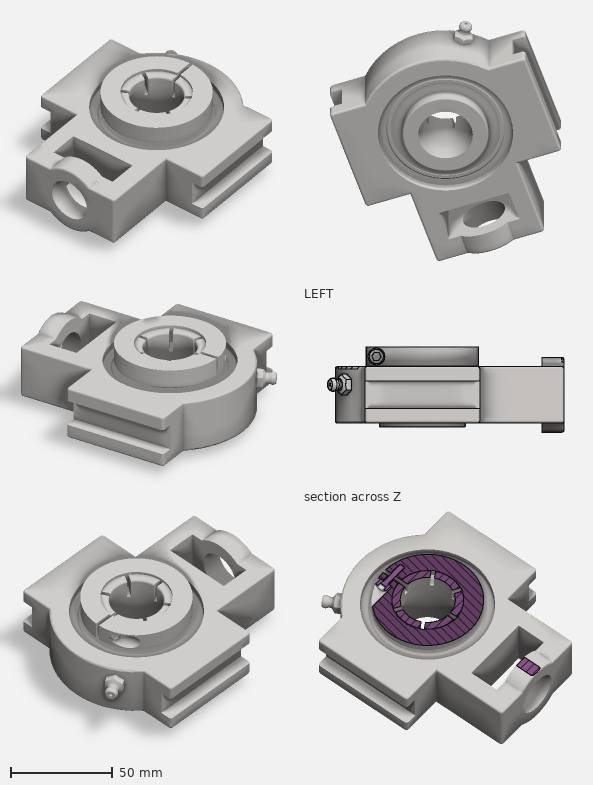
import cadquery as cq
import math

tolerance = 0.01
hexagon_sides = 6

wing_span = 102.0
wing_depth = 56.75
block_height = 28.0
half_height = block_height / 2
head_radius = 43.0
neck_width = 56.0
neck_end_y = -70.0
top_edge_fillet = 1.2
corner_fillet = 1.5

rail_slot_height = 13.5
rail_slot_depth = 6.5

window_width = 37.0
window_top_y = -43.0
window_bottom_y = -59.0
boss_diameter = 37.0
boss_hole_diameter = 22.0

recess_diameter = 66.75
recess_floor_z = 10.0
recess_floor_fillet = 0.95
seat_sphere_diameter = 62.0

collar_diameter = 55.5
collar_height = 9.5
collar_top_z = 23.7
collar_bottom_z = collar_top_z - collar_height
collar_mid_z = collar_top_z - collar_height / 2

outer_ring_half_width = 10.2
outer_ring_chamfer = 0.7
seal_diameter = 54.0
seal_dish_diameter = 52.0
seal_edge_z = 9.5
seal_top_z = 10.1
seal_thickness = 2.0

inner_ring_diameter = 42.51
inner_ring_bottom_z = -15.9
sleeve_diameter = 35.75
sleeve_top_z = 22.2
bore_diameter = 26.99
bore_edge_fillet = 1.3
slit_bottom_z = 11.5
bottom_rim_fillet = 0.8
finger_count = 6
slit_width = 2.0
first_slit_angle = 90.0

screw_y = 22.7
counterbore_diameter = 8.25
screw_head_diameter = 7.0
screw_head_length = 4.0
screw_seat_x = -5.0
screw_shank_diameter = 3.24
screw_clearance_diameter = 4.0
screw_end_x = 8.0
hex_socket_width = 4.0
hex_socket_depth = 2.0
hex_socket_turn = 5.0

nipple_angle = 120.0
nipple_z = 5.0
nipple_thread_diameter = 6.0
nipple_thread_length = 5.0
nipple_hex_width = 9.0
nipple_bevel_start = 2.9
nipple_bevel_end = 4.3
nipple_bevel_radius = 3.0
nipple_neck_radius = 2.7
nipple_neck_start = 4.9
nipple_neck_end = 5.95
nipple_ridge_radius = 3.3
nipple_ridge = 7.6
nipple_shoulder_radius = 3.2
nipple_shoulder = 8.6
nipple_tip_radius = 2.46
nipple_length = 9.72
nipple_port_diameter = 1.48
nipple_port_depth = 2.0


def cylinder_z(diameter, z_bottom, z_top):
    """Cylinder on the bearing axis between two heights."""
    return cq.Workplane("XY").workplane(offset=z_bottom).circle(diameter / 2).extrude(z_top - z_bottom)


def cylinder_x(diameter, x_start, x_end):
    """Cylinder on the screw axis, between two places along X."""
    return (
        cq.Workplane("YZ", origin=(x_start, screw_y, collar_mid_z))
        .circle(diameter / 2)
        .extrude(x_end - x_start)
    )


def hexagon_diameter(width_across_flats):
    """Circumscribed diameter of a hexagon."""
    return width_across_flats / math.cos(math.pi / hexagon_sides)


def rounded_block():
    """Wings, neck, round head and eye boss in one piece, with the outline edges rounded."""
    wings = cq.Workplane("XY").box(wing_span, wing_depth, block_height).edges("|Z").fillet(corner_fillet)
    neck = cq.Workplane("XY").box(neck_width, -neck_end_y, block_height).translate((0, neck_end_y / 2, 0))
    neck = neck.edges("|Z and <Y").fillet(corner_fillet)
    rear_half = cq.Workplane("XY").box(2 * head_radius, head_radius, block_height)
    head = cylinder_z(2 * head_radius, -half_height, half_height)
    head = head.intersect(rear_half.translate((0, head_radius / 2, 0)))
    boss = (
        cq.Workplane("XZ", origin=(0, window_bottom_y, 0))
        .circle(boss_diameter / 2)
        .extrude(window_bottom_y - neck_end_y)
    )
    block = wings.union(neck).union(head).union(boss)

    def is_outline(edge):
        """Edges of the flat faces, except those at the foot of the boss, and the end of the boss."""
        center = edge.Center()
        in_flat_face = abs(abs(center.z) - half_height) < tolerance
        behind_end = center.y > neck_end_y + tolerance
        over_boss = behind_end and center.y < window_bottom_y + tolerance
        at_boss_foot = over_boss and abs(center.x) < boss_diameter / 2
        boss_rim = edge.geomType() == "CIRCLE" and not behind_end
        return boss_rim or (in_flat_face and not at_boss_foot)

    outline = [edge for edge in block.edges().vals() if is_outline(edge)]
    return block.newObject(outline).fillet(top_edge_fillet)


def seat_sphere():
    """Sphere shared by the housing seat and the outside of the outer ring."""
    return cq.Workplane("XY").sphere(seat_sphere_diameter / 2)


def cut_bearing_seat(block):
    """Cut the spherical seat and, on both faces, a recess with a rounded floor corner."""
    block = block.cut(seat_sphere())
    recess = cylinder_z(recess_diameter, recess_floor_z, half_height)
    recess = recess.faces("<Z").edges().fillet(recess_floor_fillet)
    return block.cut(recess).cut(recess.mirror("XY"))


def make_housing():
    """Take-up block with the bearing seat, adjusting-screw eye, window and side rail slots."""
    block = rounded_block()
    window = cq.Workplane("XY").box(window_width, window_top_y - window_bottom_y, block_height)
    window = window.translate((0, (window_top_y + window_bottom_y) / 2, 0))
    eye_hole = (
        cq.Workplane("XZ", origin=(0, window_bottom_y, 0))
        .circle(boss_hole_diameter / 2)
        .extrude(window_bottom_y - neck_end_y)
    )
    housing = cut_bearing_seat(block).cut(window).cut(eye_hole).cut(make_nipple_thread())
    for side in (-1, 1):
        slot = cq.Workplane("XY").box(2 * rail_slot_depth, wing_depth, rail_slot_height)
        housing = housing.cut(slot.translate((side * wing_span / 2, 0, 0)))
    return housing


def make_outer_ring():
    """Ring with a spherical outside, holding a seal at each end."""
    blank = cylinder_z(seat_sphere_diameter, -outer_ring_half_width, outer_ring_half_width)
    ring = blank.intersect(seat_sphere())
    ring = ring.faces("<Z or >Z").edges().chamfer(outer_ring_chamfer)
    return ring.cut(cylinder_z(seal_diameter, -outer_ring_half_width, outer_ring_half_width))


def make_upper_seal():
    """Upper seal, a disc with a flat rim that rises towards the inner ring."""
    return (
        cq.Workplane("XZ")
        .moveTo(inner_ring_diameter / 2, seal_edge_z - seal_thickness)
        .lineTo(seal_diameter / 2, seal_edge_z - seal_thickness)
        .lineTo(seal_diameter / 2, seal_edge_z)
        .lineTo(seal_dish_diameter / 2, seal_edge_z)
        .lineTo(inner_ring_diameter / 2, seal_top_z)
        .close()
        .revolve()
    )


def make_inner_ring():
    """Inner ring with a slit sleeve that the collar squeezes onto the shaft."""
    race = cylinder_z(inner_ring_diameter, inner_ring_bottom_z, collar_bottom_z)
    race = race.faces("<Z").edges().fillet(bottom_rim_fillet)
    race = race.cut(cylinder_z(bore_diameter, inner_ring_bottom_z, collar_bottom_z))
    sleeve = cylinder_z(sleeve_diameter, collar_bottom_z, sleeve_top_z)
    sleeve = sleeve.cut(cylinder_z(bore_diameter, collar_bottom_z, sleeve_top_z))
    sleeve = sleeve.faces(">Z").edges(cq.selectors.RadiusNthSelector(0)).fillet(bore_edge_fillet)
    ring = race.union(sleeve)
    slit = (
        cq.Workplane("XZ", origin=(0, slit_width / 2, 0))
        .moveTo(0, slit_bottom_z)
        .lineTo(bore_diameter / 2, slit_bottom_z)
        .lineTo(sleeve_diameter / 2, collar_bottom_z)
        .lineTo(sleeve_diameter / 2, sleeve_top_z)
        .lineTo(0, sleeve_top_z)
        .close()
        .extrude(slit_width)
    )
    for index in range(finger_count):
        angle = first_slit_angle + index * 360 / finger_count
        ring = ring.cut(slit.rotate((0, 0, 0), (0, 0, 1), angle))
    return ring


def make_collar():
    """Split clamping collar with a counterbored cross hole for its cap screw."""
    collar = cylinder_z(collar_diameter, collar_bottom_z, collar_top_z)
    collar = collar.cut(cylinder_z(sleeve_diameter, collar_bottom_z, collar_top_z))
    split = cq.Workplane("XY").box(slit_width, collar_diameter, collar_height)
    collar = collar.cut(split.translate((0, collar_diameter / 2, collar_mid_z)))
    collar = collar.cut(cylinder_x(counterbore_diameter, -collar_diameter / 2, screw_seat_x))
    collar = collar.cut(cylinder_x(screw_clearance_diameter, screw_seat_x, 0))
    return collar.cut(cylinder_x(screw_shank_diameter, 0, screw_end_x))


def make_screw():
    """Socket head cap screw that closes the collar split."""
    head_end_x = screw_seat_x - screw_head_length
    screw = cylinder_x(screw_head_diameter, head_end_x, screw_seat_x)
    screw = screw.union(cylinder_x(screw_shank_diameter, screw_seat_x, screw_end_x))
    socket = (
        cq.Workplane("YZ", origin=(head_end_x, screw_y, collar_mid_z))
        .polygon(hexagon_sides, hexagon_diameter(hex_socket_width))
        .extrude(hex_socket_depth)
        .rotate((0, screw_y, collar_mid_z), (1, screw_y, collar_mid_z), hex_socket_turn)
    )
    return screw.cut(socket)


def place_nipple(upright):
    """Lay an upright shape, standing on the origin, onto the round head of the housing."""
    lying = upright.rotate((0, 0, 0), (0, 1, 0), 90).translate((head_radius, 0, nipple_z))
    return lying.rotate((0, 0, 0), (0, 0, 1), nipple_angle)


def make_nipple_thread():
    """Thread of the nipple, which also sets its hole in the housing."""
    thread = cylinder_z(nipple_thread_diameter, -nipple_thread_length, 0)
    return place_nipple(thread)


def make_nipple():
    """Grease nipple: thread, bevelled hexagon, waisted neck and head with a grease port."""
    corner_diameter = hexagon_diameter(nipple_hex_width)
    hexagon = cq.Workplane("XY").polygon(hexagon_sides, corner_diameter).extrude(nipple_bevel_end)
    envelope = (
        cq.Workplane("XZ")
        .lineTo(corner_diameter / 2, 0)
        .lineTo(corner_diameter / 2, nipple_bevel_start)
        .lineTo(nipple_bevel_radius, nipple_bevel_end)
        .lineTo(0, nipple_bevel_end)
        .close()
        .revolve()
    )
    stem = (
        cq.Workplane("XZ")
        .moveTo(0, nipple_bevel_end)
        .lineTo(nipple_bevel_radius, nipple_bevel_end)
        .lineTo(nipple_neck_radius, nipple_neck_start)
        .lineTo(nipple_neck_radius, nipple_neck_end)
        .lineTo(nipple_ridge_radius, nipple_ridge)
        .threePointArc((nipple_shoulder_radius, nipple_shoulder), (nipple_tip_radius, nipple_length))
        .lineTo(0, nipple_length)
        .close()
        .revolve()
    )
    port = cylinder_z(nipple_port_diameter, nipple_length - nipple_port_depth, nipple_length)
    upright = hexagon.intersect(envelope).union(stem).cut(port)
    return place_nipple(upright).union(make_nipple_thread())


housing = make_housing()
outer_ring = make_outer_ring()
upper_seal = make_upper_seal()
lower_seal = upper_seal.mirror("XY")
inner_ring = make_inner_ring()
collar = make_collar()
screw = make_screw()
nipple = make_nipple()

bodies = [housing, outer_ring, upper_seal, lower_seal, inner_ring, collar, screw, nipple]
result = cq.Compound.makeCompound([body.solids().val() for body in bodies])